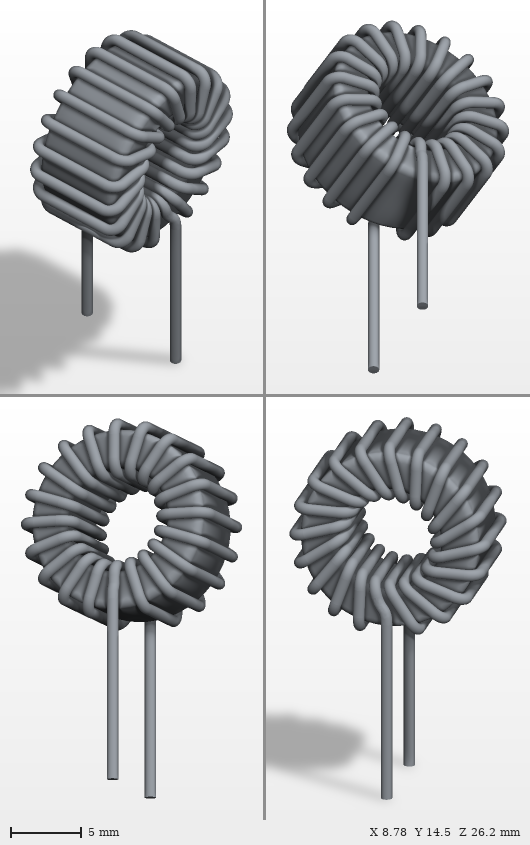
import cadquery as cq
import math


wire_diameter = 0.8
core_outer_diameter = 12.9
core_inner_diameter = 7.5
core_width = 6.57
core_edge_radius = 0.5
turn_positions = 20
lead_spacing = 7.98
lead_top_z = -5.95
overall_height = 26.18
jog_handle = 1.18

wire_radius = wire_diameter / 2
outer_run_radius = core_outer_diameter / 2 + wire_radius
inner_run_radius = core_inner_diameter / 2 - wire_radius
side_x = core_width / 2 + wire_radius
bend_radius = core_edge_radius + wire_radius
turn_angle = 2 * math.pi / turn_positions
lead_x = lead_spacing / 2
lead_bottom_z = outer_run_radius + wire_radius - overall_height
up = cq.Vector(0, 0, 1)
down = cq.Vector(0, 0, -1)


def make_core():
    """Ring with all four circular edges rounded."""
    return (
        cq.Workplane("YZ", origin=(-core_width / 2, 0, 0))
        .circle(core_outer_diameter / 2)
        .circle(core_inner_diameter / 2)
        .extrude(core_width)
        .edges("%CIRCLE")
        .fillet(core_edge_radius)
    )


def winding_point(x, radius, turn):
    """Point at a turn position, counted from the bottom of the core toward +Y."""
    angle = turn * turn_angle
    return cq.Vector(x, radius * math.sin(angle), -radius * math.cos(angle))


def winding_corners():
    """Sharp corners of the winding, from the -X lead to the +X lead.

    Each turn is radial on the -X side and steps on to the next position on the +X side.
    """
    corners = [
        winding_point(-side_x, inner_run_radius, 0),
        winding_point(side_x, inner_run_radius, 0),
    ]
    for turn in range(1, turn_positions):
        corners += [
            winding_point(side_x, outer_run_radius, turn),
            winding_point(-side_x, outer_run_radius, turn),
            winding_point(-side_x, inner_run_radius, turn),
            winding_point(side_x, inner_run_radius, turn),
        ]
    return corners


def direction(start, end):
    """Unit vector from one point toward another."""
    return (end - start).normalized()


def bend(corner, arriving, leaving):
    """Quarter-circle arc that rounds a right-angled corner."""
    start = corner - arriving * bend_radius
    end = corner + leaving * bend_radius
    middle_offset = bend_radius * (1 - math.sqrt(0.5))
    middle = corner + (leaving - arriving) * middle_offset
    return cq.Edge.makeThreePointArc(start, middle, end)


def lead_jog(start, start_direction, end, end_direction):
    """Smooth S-shaped step between a straight lead and the winding."""
    start_handle = start + start_direction * jog_handle
    end_handle = end - end_direction * jog_handle
    return cq.Edge.makeBezier([start, start_handle, end_handle, end])


def wire_path():
    """Centre line of the whole wire, from the foot of the -X lead to that of the +X lead."""
    first_foot = cq.Vector(-lead_x, 0, lead_bottom_z)
    first_top = cq.Vector(-lead_x, 0, lead_top_z)
    last_top = cq.Vector(lead_x, 0, lead_top_z)
    last_foot = cq.Vector(lead_x, 0, lead_bottom_z)

    first_target = winding_point(-side_x, outer_run_radius, 0)
    last_target = winding_point(side_x, outer_run_radius, 0)
    route = [first_target] + winding_corners() + [last_target]

    bends = []
    for previous, corner, following in zip(route, route[1:], route[2:]):
        bends.append(bend(corner, direction(previous, corner), direction(corner, following)))
    winding_start = bends[0].startPoint()
    winding_end = bends[-1].endPoint()

    edges = [
        cq.Edge.makeLine(first_foot, first_top),
        lead_jog(first_top, up, winding_start, up),
        bends[0],
    ]
    for this_bend, next_bend in zip(bends, bends[1:]):
        edges.append(cq.Edge.makeLine(this_bend.endPoint(), next_bend.startPoint()))
        edges.append(next_bend)
    edges.append(lead_jog(winding_end, direction(winding_end, last_target), last_top, down))
    edges.append(cq.Edge.makeLine(last_top, last_foot))
    return cq.Wire.assembleEdges(edges)


def make_winding():
    """Round wire swept along its centre line."""
    return (
        cq.Workplane("XY", origin=(-lead_x, 0, lead_bottom_z))
        .circle(wire_radius)
        .sweep(cq.Workplane(wire_path()))
    )


core = make_core()
winding = make_winding()
result = cq.Compound.makeCompound([core.val(), winding.val()])